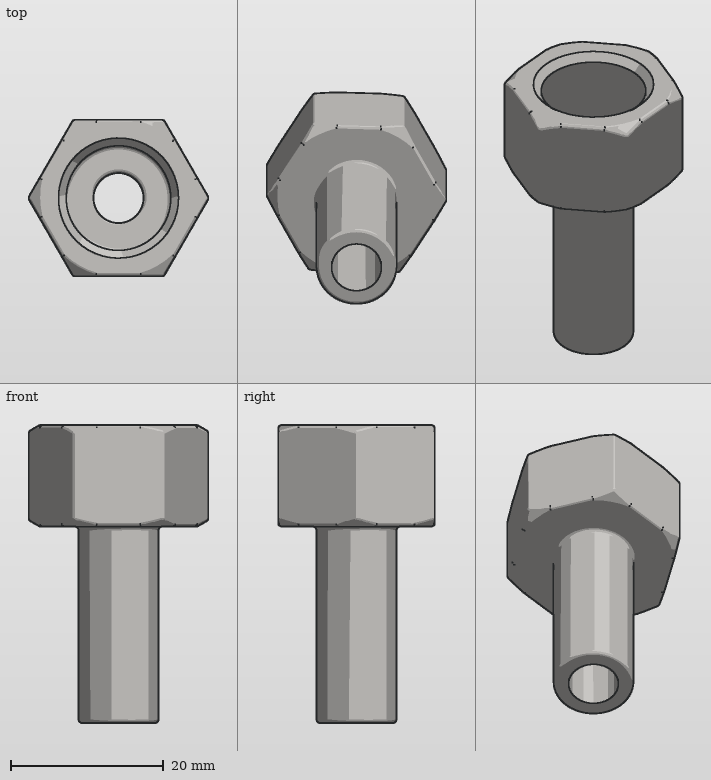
import cadquery as cq
import math

total_height = 39.0
edge_radius = 0.5
diagonal = edge_radius * math.sqrt(0.5)

hexagon_sides = 6
across_flats = 20.5
head_height = 13.3
head_bottom = total_height - head_height
across_corners = across_flats / math.cos(math.pi / hexagon_sides)
corner_cut_radius = 10.3
corner_cut_angle = math.radians(30)

stem_diameter = 10.5

socket_diameter = 13.7
socket_mouth_chamfer = 1.0
socket_depth = 10.4
through_hole_diameter = 6.5


def corner_cutting_envelope():
    """Turned blank whose conical ends trim the corners of the hexagon."""
    outer_radius = across_corners / 2 + edge_radius
    cone_height = (outer_radius - corner_cut_radius) * math.tan(corner_cut_angle)
    return (
        cq.Workplane("XZ")
        .moveTo(0, head_bottom)
        .lineTo(corner_cut_radius, head_bottom)
        .lineTo(outer_radius, head_bottom + cone_height)
        .lineTo(outer_radius, total_height - cone_height)
        .lineTo(corner_cut_radius, total_height)
        .lineTo(0, total_height)
        .close()
        .revolve(360, (0, 0, 0), (0, 1, 0))
    )


def hex_head():
    """Hexagon with its points along X, trimmed corners and all edges rounded."""
    hexagon = (
        cq.Workplane("XY")
        .workplane(offset=head_bottom)
        .polygon(hexagon_sides, across_corners)
        .extrude(head_height)
    )
    return hexagon.intersect(corner_cutting_envelope()).edges().fillet(edge_radius)


def stem():
    """Round stem with a rounded lower rim, flaring into the head."""
    radius = stem_diameter / 2
    rim_z = edge_radius
    flare_z = head_bottom - edge_radius
    inside = head_bottom + edge_radius
    return (
        cq.Workplane("XZ")
        .lineTo(radius - edge_radius, 0)
        .threePointArc((radius - edge_radius + diagonal, rim_z - diagonal), (radius, rim_z))
        .lineTo(radius, flare_z)
        .threePointArc(
            (radius + edge_radius - diagonal, flare_z + diagonal),
            (radius + edge_radius, head_bottom),
        )
        .lineTo(radius + edge_radius, inside)
        .lineTo(0, inside)
        .close()
        .revolve(360, (0, 0, 0), (0, 1, 0))
    )


def bore():
    """Chamfered socket with a rounded floor, leading into the through hole."""
    socket_radius = socket_diameter / 2
    hole_radius = through_hole_diameter / 2
    floor_z = total_height - socket_depth
    return (
        cq.Workplane("XZ")
        .lineTo(hole_radius, 0)
        .lineTo(hole_radius, floor_z - edge_radius)
        .threePointArc(
            (hole_radius + edge_radius - diagonal, floor_z - edge_radius + diagonal),
            (hole_radius + edge_radius, floor_z),
        )
        .lineTo(socket_radius - edge_radius, floor_z)
        .threePointArc(
            (socket_radius - edge_radius + diagonal, floor_z + edge_radius - diagonal),
            (socket_radius, floor_z + edge_radius),
        )
        .lineTo(socket_radius, total_height - socket_mouth_chamfer)
        .lineTo(socket_radius + socket_mouth_chamfer, total_height)
        .lineTo(0, total_height)
        .close()
        .revolve(360, (0, 0, 0), (0, 1, 0))
    )


result = hex_head().union(stem()).cut(bore())